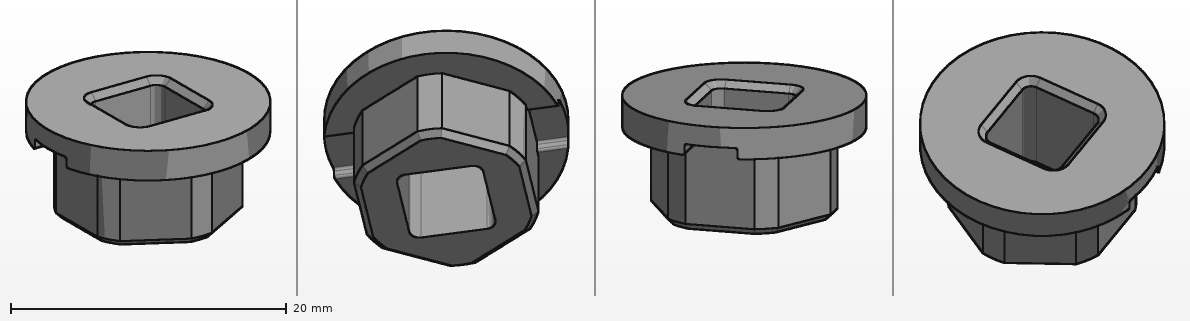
import cadquery as cq
import math

flange_diameter = 17.78
flange_height = 2.36
total_height = 8.71

hex_across_flats = 12.7
hex_corner_diameter = 13.73
bottom_chamfer = 0.5

hole_width = 6.37
hole_corner_radius = 0.75
hole_chamfer = 0.53
rim_angle = 45.0

notch_width = 4.0
notch_height = 0.85
notch_fillet = 0.2

body_height = total_height - flange_height
hex_across_corners = hex_across_flats / math.cos(math.radians(30))


def make_body():
    """Hexagon with two flats facing +/-Y and its corners turned to a cylinder."""
    hexagon = cq.Workplane("XY").polygon(6, hex_across_corners).extrude(body_height)
    turned = cq.Workplane("XY").circle(hex_corner_diameter / 2).extrude(body_height)
    return hexagon.intersect(turned).faces("<Z").chamfer(bottom_chamfer)


def make_flange():
    """Round flange with a rounded key slot across its underside along Y."""
    flange = (
        cq.Workplane("XY", origin=(0, 0, body_height))
        .circle(flange_diameter / 2)
        .extrude(flange_height)
    )
    half_width = notch_width / 2
    roof = body_height + notch_height
    slot = (
        cq.Workplane("XZ")
        .moveTo(-half_width - notch_fillet, body_height)
        .radiusArc((-half_width, body_height + notch_fillet), -notch_fillet)
        .lineTo(-half_width, roof - notch_fillet)
        .radiusArc((-half_width + notch_fillet, roof), notch_fillet)
        .lineTo(half_width - notch_fillet, roof)
        .radiusArc((half_width, roof - notch_fillet), notch_fillet)
        .lineTo(half_width, body_height + notch_fillet)
        .radiusArc((half_width + notch_fillet, body_height), -notch_fillet)
        .close()
        .extrude(flange_diameter, both=True)
    )
    core = (
        cq.Workplane("XY", origin=(0, 0, body_height))
        .rect(flange_diameter, hex_across_flats)
        .extrude(flange_height)
    )
    return flange.cut(slot.cut(core))


def make_hole():
    """Square through hole with rounded corners and a chamfered top rim."""
    square = cq.Sketch().rect(hole_width, hole_width).vertices().fillet(hole_corner_radius)
    hole = cq.Workplane("XY").placeSketch(square).extrude(total_height)
    rim = (
        cq.Workplane("XY", origin=(0, 0, total_height - hole_chamfer))
        .placeSketch(square)
        .extrude(hole_chamfer, taper=-rim_angle)
    )
    return hole.union(rim)


result = make_body().union(make_flange()).cut(make_hole())